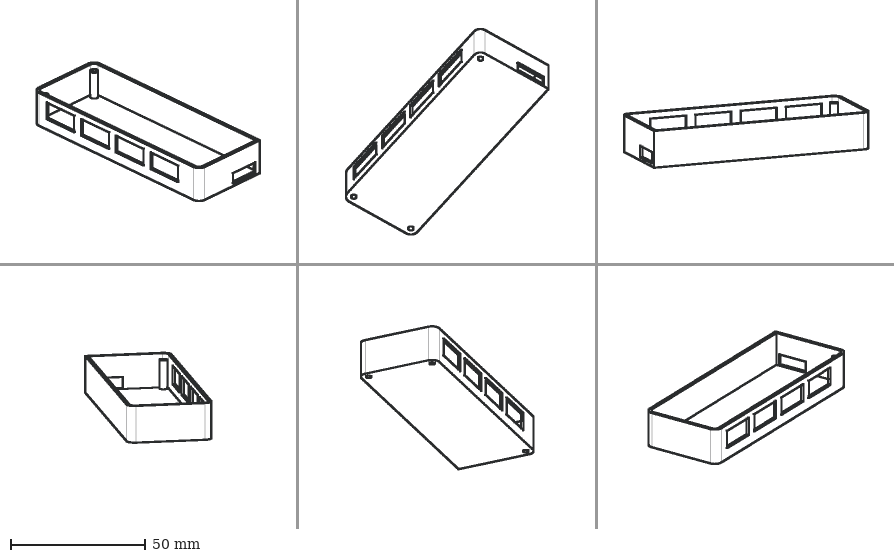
import cadquery as cq

length = 87.0
width = 32.0
height = 14.0
wall = 1.05
floor_thickness = 1.05
corner_radius = 3.0

post_diameter = 3.0
post_hole_diameter = 2.0
post_height = 12.0

window_count = 4
window_length = 14.5
window_height = 7.05
window_pitch = 18.2
first_window_x = 6.9
window_sill_z = 4.4

end_window_width = 11.9
end_window_height = 4.35
end_window_sill_rise = 0.2
end_window_back_gap = 2.2
end_window_sill_z = floor_thickness + end_window_sill_rise


def box(x, y, z, size_x, size_y, size_z):
    """Box placed by its lowest corner."""
    return cq.Workplane("XY").box(size_x, size_y, size_z, centered=False).translate((x, y, z))


def rounded_block(inset, base_z):
    """Block up to the rim with three rounded corners and a square back right one."""
    block = box(inset, inset, base_z, length - 2 * inset, width - 2 * inset, height - base_z)
    radius = corner_radius - inset
    return block.edges("|Z and (<X or <Y)").fillet(radius)


def cylinders(diameter, base_z, top_z):
    """Vertical cylinders at the three rounded corners."""
    centers = [
        (corner_radius, corner_radius),
        (corner_radius, width - corner_radius),
        (length - corner_radius, corner_radius),
    ]
    plane = cq.Workplane("XY").workplane(offset=base_z)
    return plane.pushPoints(centers).circle(diameter / 2).extrude(top_z - base_z)


tray = rounded_block(0, 0).cut(rounded_block(wall, floor_thickness))

tray = tray.union(cylinders(post_diameter, 0, post_height))
tray = tray.cut(cylinders(post_hole_diameter, 0, post_height))

for index in range(window_count):
    window_x = first_window_x + index * window_pitch
    tray = tray.cut(box(window_x, 0, window_sill_z, window_length, wall, window_height))

end_window_y = width - end_window_back_gap - end_window_width
result = tray.cut(
    box(length - wall, end_window_y, end_window_sill_z, wall, end_window_width, end_window_height)
)